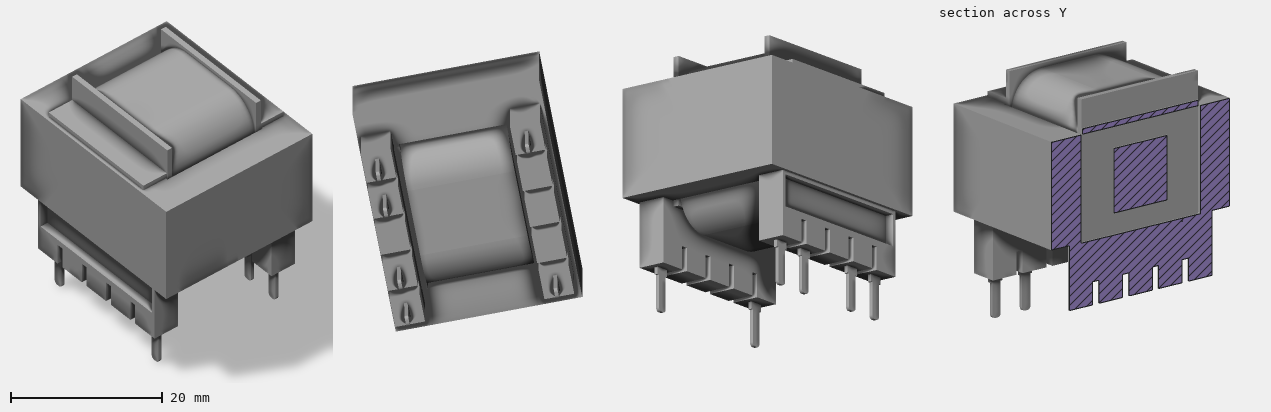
import cadquery as cq

CORE_X = 30.0
CORE_Y = 25.0
CORE_HEIGHT = 15.0
WINDOW_X = 20.0
WINDOW_Y = 16.3
LEG_SIZE = 9.0

PLATE = 0.8
FLANGE_X = 19.6
FLANGE_OUTER_Y = 8.0
FLANGE_RISE = 4.8
REAR_LEDGE_REACH = 11.9
FRONT_LEDGE_REACH = 12.0
FRONT_LEDGE_TRIM = 0.1

COIL_X = 18.93
COIL_RISE = 4.15
COIL_DROP = 3.6
COIL_RADIUS = 5.0

RAIL_X = 24.0
RAIL_HEIGHT = 9.0
RAIL_OUTER_Y = 12.0
NOTCH_WIDTH = 1.0
NOTCH_HEIGHT = 3.2
POCKET_X = 23.0
POCKET_FLOOR = 4.1
POCKET_HEIGHT = 4.4
POCKET_DEPTH = 1.2

PIN_PITCH = 5.0
PIN_LENGTH = 6.0
PIN_WIDTH = 1.4
PIN_THICKNESS = 0.5
PIN_TIP_RADIUS = 0.5
SHOULDER_WIDTH = 2.0
SHOULDER_LENGTH = 1.0
FRONT_PIN_STEPS = (-2, 2)
REAR_PIN_STEPS = (-2, -1, 1, 2)
NOTCH_STEPS = (-1.5, -0.5, 0.5, 1.5)

FRONT = -1
REAR = 1

CORE_BOTTOM = RAIL_HEIGHT
CORE_TOP = CORE_BOTTOM + CORE_HEIGHT
CORE_MIDDLE = (CORE_BOTTOM + CORE_TOP) / 2
FLANGE_INNER_Y = FLANGE_OUTER_Y - PLATE
RAIL_MIDDLE_Y = (FLANGE_OUTER_Y + RAIL_OUTER_Y) / 2


def block(x_range, y_range, z_range):
    """Axis-aligned box between pairs of limits, given in either order."""
    (x0, x1), (y0, y1), (z0, z1) = map(sorted, (x_range, y_range, z_range))
    return cq.Workplane("XY").box(x1 - x0, y1 - y0, z1 - z0, centered=False).translate((x0, y0, z0))


def centred(width, middle=0.0):
    """Pair of limits spaced evenly about a middle position."""
    return (middle - width / 2, middle + width / 2)


def make_core():
    height = (CORE_BOTTOM, CORE_TOP)
    frame = block(centred(CORE_X), centred(CORE_Y), height)
    window = block(centred(WINDOW_X), centred(WINDOW_Y), height)
    leg = block(centred(LEG_SIZE), centred(CORE_Y), centred(LEG_SIZE, CORE_MIDDLE))
    return frame.cut(window).union(leg)


def make_coil():
    coil = block(
        centred(COIL_X),
        centred(2 * FLANGE_INNER_Y),
        (CORE_BOTTOM - COIL_DROP, CORE_TOP + COIL_RISE),
    )
    return coil.edges("|Y").fillet(COIL_RADIUS)


def make_flange(side):
    return block(
        centred(FLANGE_X),
        (side * FLANGE_INNER_Y, side * FLANGE_OUTER_Y),
        (CORE_BOTTOM - PLATE, CORE_TOP + FLANGE_RISE),
    )


def make_ledge(side, reach, trim):
    left, right = centred(FLANGE_X)
    return block(
        (left, right - trim),
        (side * FLANGE_INNER_Y, side * reach),
        (CORE_TOP, CORE_TOP + PLATE),
    )


def make_rail(side):
    depth = (side * FLANGE_OUTER_Y, side * RAIL_OUTER_Y)
    rail = block(centred(RAIL_X), depth, (0, RAIL_HEIGHT))
    pocket = block(
        centred(POCKET_X),
        (side * (RAIL_OUTER_Y - POCKET_DEPTH), side * RAIL_OUTER_Y),
        (POCKET_FLOOR, POCKET_FLOOR + POCKET_HEIGHT),
    )
    rail = rail.cut(pocket)
    for step in NOTCH_STEPS:
        rail = rail.cut(block(centred(NOTCH_WIDTH, step * PIN_PITCH), depth, (0, NOTCH_HEIGHT)))
    return rail


def make_pin(x, side):
    thickness = centred(PIN_THICKNESS, side * RAIL_MIDDLE_Y)
    blade = block(centred(PIN_WIDTH, x), thickness, (-PIN_LENGTH, 0))
    blade = blade.faces("<Z").edges("|Y").fillet(PIN_TIP_RADIUS)
    shoulder = block(centred(SHOULDER_WIDTH, x), thickness, (-SHOULDER_LENGTH, 0))
    return blade.union(shoulder)


result = make_core().union(make_coil())
for side, reach, trim, pin_steps in (
    (FRONT, FRONT_LEDGE_REACH, FRONT_LEDGE_TRIM, FRONT_PIN_STEPS),
    (REAR, REAR_LEDGE_REACH, 0.0, REAR_PIN_STEPS),
):
    result = result.union(make_flange(side))
    result = result.union(make_ledge(side, reach, trim))
    result = result.union(make_rail(side))
    for step in pin_steps:
        result = result.union(make_pin(step * PIN_PITCH, side))